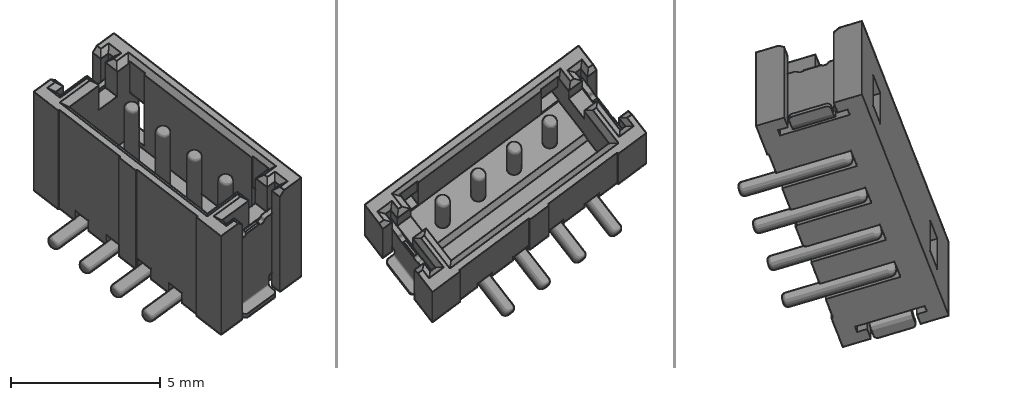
import cadquery as cq

LENGTH = 9.0
DEPTH = 3.75
HEIGHT = 5.0
HALF = LENGTH / 2
MID_Y = DEPTH / 2
LEAD_IN = 0.2

PANEL_RELIEF = 0.05
PANEL_OUTER = HALF - 1.18
CENTRE_RIB = 0.81

CAVITY_HALF = 3.32
CAVITY_FRONT = 0.51
CAVITY_LEAD_IN = 0.225
MOUTH_BACK_WALL = 0.25
BACK_WALL = 0.45
FLOOR_FRONT = 0.8
FLOOR_STEP = 0.21
FLOOR_STEP_Y = 1.68

ZONE_INNER = 2.59
ZONE_RELIEF = 0.045
WINDOW_TOP = 3.27
WINDOW_SILL = 1.2

SLOT_FRONT = 1.0
SLOT_BACK = DEPTH - SLOT_FRONT
NOTCH_FRONT = 1.9
NOTCH_FLOOR = 3.54

POCKET_INSET = 0.4
POCKET_WIDTH = 0.22
POCKET_SPAN = 2.47

CLIP_THICKNESS = 0.2
CLIP_TOP = 3.645
CLIP_CORNER = 0.1
NECK_SPAN = 1.485
SHOULDER_Z = 0.66
SHOULDER_FILLET = 0.16
BOTTOM_Z = -0.1
BEND_INNER = 0.1
FOOT_CORNER = 0.14
TAB_HALF = 0.3
TAB_TOP = 3.62
TAB_CHAMFER = 0.05
RELIEF_RADIUS = 0.13
RELIEF_RUN = 0.23

PIN_COUNT = 4
PIN_PITCH = 1.5
PIN_DIAMETER = 0.5
PIN_TIP_FILLET = 0.15
PIN_Y = 2.39
PIN_TOP = 4.25
PIN_REACH = 1.35
PIN_SLOT_WIDTH = 0.62
PIN_SLOT_HEIGHT = 0.5


def block(x_min, x_max, y_min, y_max, z_min, z_max):
    """Axis-aligned box between the given limits."""
    size = (x_max - x_min, y_max - y_min, z_max - z_min)
    return cq.Workplane("XY").box(*size, centered=False).translate((x_min, y_min, z_min))


def lead_in(x_min, x_max, y_min, y_max, depth):
    """Opening at the housing top that widens upward at 45 degrees to `depth` outside the limits."""
    return (
        cq.Workplane("XY", origin=((x_min + x_max) / 2, (y_min + y_max) / 2, HEIGHT))
        .rect(x_max - x_min + 2 * depth, y_max - y_min + 2 * depth)
        .extrude(-depth, taper=45)
    )


def slot_with_lead_in(x_min, x_max, y_min, y_max, z_min):
    """Slot running along X, with both upper edges chamfered."""
    outline = [
        (y_min, z_min),
        (y_min, HEIGHT - LEAD_IN),
        (y_min - LEAD_IN, HEIGHT),
        (y_max + LEAD_IN, HEIGHT),
        (y_max, HEIGHT - LEAD_IN),
        (y_max, z_min),
    ]
    return cq.Workplane("YZ", origin=(x_min, 0, 0)).polyline(outline).close().extrude(x_max - x_min)


def mirrored_pair(left):
    """The left-hand shape together with its mirror image on the right."""
    return left.union(left.mirror("YZ"))


def cavity():
    back = DEPTH - BACK_WALL
    floor_back = FLOOR_FRONT + FLOOR_STEP
    outline = [
        (CAVITY_FRONT, HEIGHT),
        (CAVITY_FRONT, FLOOR_FRONT),
        (FLOOR_STEP_Y, FLOOR_FRONT),
        (FLOOR_STEP_Y + FLOOR_STEP, floor_back),
        (back, floor_back),
        (back, HEIGHT),
    ]
    well = cq.Workplane("YZ").polyline(outline).close().extrude(CAVITY_HALF, both=True)
    mouth_back = DEPTH - MOUTH_BACK_WALL
    flare = lead_in(-CAVITY_HALF, CAVITY_HALF, CAVITY_FRONT, mouth_back - CAVITY_LEAD_IN, CAVITY_LEAD_IN)
    relief_back = back + ZONE_RELIEF
    relief_top = HEIGHT - (mouth_back - relief_back)
    relief = block(-CAVITY_HALF, -ZONE_INNER, MID_Y, relief_back, WINDOW_SILL, relief_top)
    window = block(-CAVITY_HALF, -ZONE_INNER, MID_Y, DEPTH, WINDOW_SILL, WINDOW_TOP)
    return well.union(flare).union(mirrored_pair(relief.union(window)))


def end_openings():
    """Clip pocket, outer slot and inner notch of the left end."""
    pocket_outer = -HALF + POCKET_INSET
    pocket_inner = pocket_outer + POCKET_WIDTH
    pocket_limits = (pocket_outer, pocket_inner, MID_Y - POCKET_SPAN / 2, MID_Y + POCKET_SPAN / 2)
    pocket = block(*pocket_limits, 0, HEIGHT)
    flare = lead_in(*pocket_limits, LEAD_IN)
    slot = slot_with_lead_in(-HALF, pocket_outer, SLOT_FRONT, SLOT_BACK, 0)
    notch = slot_with_lead_in(pocket_inner, -CAVITY_HALF, NOTCH_FRONT, SLOT_BACK, NOTCH_FLOOR)
    return pocket.union(flare).union(slot).union(notch)


def pin_positions():
    return [PIN_PITCH * (i - (PIN_COUNT - 1) / 2) for i in range(PIN_COUNT)]


def housing():
    body = block(-HALF, HALF, 0, DEPTH, 0, HEIGHT)
    panel = block(-PANEL_OUTER, -CENTRE_RIB / 2, 0, PANEL_RELIEF, 0, HEIGHT)
    body = body.cut(mirrored_pair(panel)).cut(cavity()).cut(mirrored_pair(end_openings()))
    half_slot = PIN_SLOT_WIDTH / 2
    for x in pin_positions():
        body = body.cut(block(x - half_slot, x + half_slot, 0, PIN_Y + half_slot, 0, PIN_SLOT_HEIGHT))
    return body


def clip_plate():
    """Upright part of the left clip, outlined in Y and Z about the middle of the depth."""
    half_span = POCKET_SPAN / 2
    half_neck = NECK_SPAN / 2
    bend_top = BOTTOM_Z + CLIP_THICKNESS + BEND_INNER
    hollow_y = TAB_HALF + RELIEF_RADIUS
    hollow_z = TAB_TOP - RELIEF_RADIUS
    rim_y = hollow_y + RELIEF_RUN
    middle = (hollow_y + RELIEF_RUN / 2, (hollow_z + CLIP_TOP) / 2)
    half = (
        cq.Workplane("YZ", origin=(-HALF + POCKET_INSET, MID_Y, 0))
        .moveTo(0, bend_top)
        .lineTo(half_neck, bend_top)
        .lineTo(half_neck, SHOULDER_Z - SHOULDER_FILLET)
        .radiusArc((half_neck + SHOULDER_FILLET, SHOULDER_Z), SHOULDER_FILLET)
        .lineTo(half_span, SHOULDER_Z)
        .lineTo(half_span, CLIP_TOP - CLIP_CORNER)
        .lineTo(half_span - CLIP_CORNER, CLIP_TOP)
        .lineTo(rim_y, CLIP_TOP)
        .tangentArcPoint(middle, relative=False)
        .tangentArcPoint((hollow_y, hollow_z), relative=False)
        .tangentArcPoint((TAB_HALF, TAB_TOP), relative=False)
        .lineTo(0, TAB_TOP)
        .close()
        .extrude(CLIP_THICKNESS)
    )
    return half.union(half.mirror("XZ", (0, MID_Y, 0)))


def tab_chamfer(plate):
    edges = cq.selectors.BoxSelector(
        (-HALF, MID_Y - TAB_HALF, TAB_TOP - TAB_CHAMFER),
        (0, MID_Y + TAB_HALF, TAB_TOP + TAB_CHAMFER),
    )
    return plate.edges(edges).edges("|Y").chamfer(TAB_CHAMFER)


def clip_foot():
    """Bend and outward foot of the left clip."""
    outer_face = -HALF + POCKET_INSET
    inner_face = outer_face + CLIP_THICKNESS
    foot_top = BOTTOM_Z + CLIP_THICKNESS
    bend_top = foot_top + BEND_INNER
    bend_x = outer_face - BEND_INNER
    return (
        cq.Workplane("XZ", origin=(0, MID_Y, 0))
        .moveTo(-HALF, BOTTOM_Z)
        .lineTo(bend_x, BOTTOM_Z)
        .tangentArcPoint((inner_face, bend_top), relative=False)
        .lineTo(outer_face, bend_top)
        .radiusArc((bend_x, foot_top), BEND_INNER)
        .lineTo(-HALF, foot_top)
        .close()
        .extrude(NECK_SPAN / 2, both=True)
        .edges("|Z and <X")
        .fillet(FOOT_CORNER)
    )


def pin():
    """Round pin at X = 0: upright contact, ball corner and forward tail."""
    radius = PIN_DIAMETER / 2
    axis_z = BOTTOM_Z + radius
    upright = (
        cq.Workplane("XY", origin=(0, PIN_Y, axis_z))
        .circle(radius)
        .extrude(PIN_TOP - axis_z)
        .faces(">Z")
        .edges()
        .fillet(PIN_TIP_FILLET)
    )
    tail = (
        cq.Workplane("XZ", origin=(0, PIN_Y, axis_z))
        .circle(radius)
        .extrude(PIN_Y + PIN_REACH)
        .faces("<Y")
        .edges()
        .fillet(PIN_TIP_FILLET)
    )
    corner = cq.Workplane("XY").sphere(radius).translate((0, PIN_Y, axis_z))
    return upright.union(corner).union(tail)


clip = tab_chamfer(clip_plate()).union(clip_foot())
result = housing().union(mirrored_pair(clip))
for pin_x in pin_positions():
    result = result.union(pin().translate((pin_x, 0, 0)))